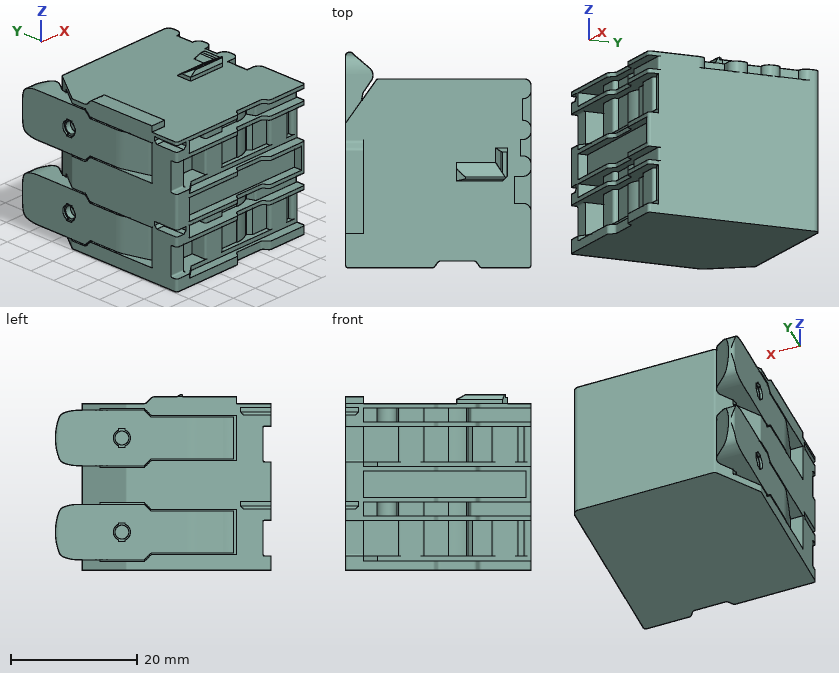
import cadquery as cq
import math


WIDTH = 29.4
DEPTH = 29.95
HEIGHT = 26.4
BEVEL_X = 5.0
BEVEL_START_Y = 22.9
BEVEL_EDGE_RADIUS = 0.4
REAR_RADIUS = 1.0
FRONT_RADIUS = 0.45

MODULE_PITCH = 14.9
MODULE_BASES = (0.0, MODULE_PITCH)
OVERCUT = 1.0
ARC_INSET = 1 - math.sqrt(0.5)

GROOVE_X0 = 14.0
GROOVE_X1 = 21.4
GROOVE_RUN = 0.8
GROOVE_DEPTH = 1.1
GROOVE_RADIUS = 0.6

PLATE_TOP = 1.5
SILL_TOP = 2.28
MID_PLATE_BOTTOM = 7.9
MID_PLATE_TOP = 8.6
UPPER_SLOT_TOP = 10.8
FRONT_X = 2.9
PANEL_DEPTH = 1.75
SILL_SLANT = 2.2
LABEL_X1 = 28.6
LABEL_DEPTH = 1.6
LABEL_Z0 = 11.5
LABEL_Z1 = 15.7

WINDOW_1_END = 8.43
WINDOW_1_DEPTH = 4.7
WINDOW_1_RADIUS = 0.32
SCREW_X = 6.6
SCREW_RADIUS = 1.6
WINDOW_2_X0 = 12.45
WINDOW_2_X1 = 23.2
RAMP_END_X = 20.1
UPPER_WINDOW_END = 19.85
UPPER_WINDOW_RADIUS = 0.35
WINDOW_2_DEPTH = 2.6
WINDOW_3_X0 = 27.35
WINDOW_3_X1 = 28.3
WINDOW_RADIUS = 0.45
LOBE_X0 = 16.35
LOBE_X1 = 19.2
LOBE_FRONT = 2.45
LOBE_BACK = 3.3
LOBE_SAG = 0.22
LOBE_FLAT = 0.2
PANEL_END_RADIUS = 0.3

SIDE_NOTCH_DEPTH = 1.3
SIDE_NOTCH_RADIUS = 0.27

CORNER_POCKET_X = 2.1
CORNER_POCKET_Y = 4.87
CORNER_POCKET_Z0 = 9.7
CORNER_POCKET_Z1 = 10.88
CORNER_POCKET_CHAMFER = 0.5

LEVER_Z = 6.05
LEVER_HALF_WIDE = 4.4
LEVER_HALF_NARROW = 3.3
LEVER_END_Y = 34.2
LEVER_SHOULDER_Y = 30.66
LEVER_CORNER = (32.8, 4.0)
LEVER_NOSE = (33.6, 3.25)
LEVER_NOSE_SAG = 0.15
LEVER_WIDE_Y = 20.1
LEVER_NARROW_Y = 19.0
LEVER_FOOT_Y = 5.97
LEVER_CLEARANCE = 0.25

TIP_START = (0, 33.5)
TIP_MID = (0.17, 34.0)
TIP_END = (0.6, LEVER_END_Y)
TIP_FLAT_END = 0.9
TIP_BREAK = (1.5, 33.65)
HOOK_START = (3.8, 31.7)
HOOK_MID = (4.37, 30.66)
HOOK_END = (4.2, 29.8)
NECK_START = (2.8, 27.75)
NECK_END = (2.6, 26.8)
NECK_ROOT_Y = 26.0
DISH_START = (0, 13.3)
DISH_HIGH_MID = (0.06, 12.5)
DISH_HIGH = (0.25, 11.7)
DISH_LOW = (1.45, 7.6)
DISH_FOOT_MID = (1.75, 6.8)
DISH_FOOT = (1.9, LEVER_FOOT_Y)

CHANNEL_FOOT_Y = 5.47
CHANNEL_END_Y = 27.15
CHANNEL_DEPTH = 3.03

HOLE_Y = 23.65
HOLE_DIAMETER = 2.2
HOLE_RIM_DIAMETER = 2.7
HOLE_RIM_DEPTH = 0.4
HOLE_DEPTH = 1.5
KEY_WIDTH = 1.05
KEY_LENGTH = 2.95

RIB_HEIGHT = 1.1
RIB_SLOPE_START_Y = 18.8
RIB_RADIUS = 0.8

SCALLOPS = ((26.8, 23.4, 28.05), (20.35, 17.75, 27.75), (14.5, 10.25, 26.8))
SCALLOP_RADIUS = 1.3
SCALLOP_DEPTH = 1.8

RIDGE_X0 = 17.6
RIDGE_X1 = 25.7
RIDGE_Y0 = 13.8
RIDGE_Y1 = 19.0
RIDGE_HEIGHT = 1.4
RIDGE_SHOULDER = 0.67
RIDGE_END_RUN = 1.4
RIDGE_REAR_RUN = 0.9
RIDGE_CORNER = 0.8
RIDGE_LONG_WIDTH = 2.9
RIDGE_SHORT_WIDTH = 1.9

RIDGE_LONG_SECTION = [
    (0, 0),
    (0, RIDGE_SHOULDER),
    (0.3, RIDGE_HEIGHT),
    (0.6, RIDGE_HEIGHT),
    (1.1, 1.1),
    (2.6, 0.3),
    (RIDGE_LONG_WIDTH, 0),
]
RIDGE_SHORT_SECTION = [
    (0, 0),
    (0, 0.9),
    (0.15, 1.0),
    (0.8, 1.0),
    (1.1, 0.85),
    (1.6, 0.3),
    (RIDGE_SHORT_WIDTH, 0),
]


def box(x0, x1, y0, y1, z0, z1):
    return cq.Workplane("XY").box(x1 - x0, y1 - y0, z1 - z0, centered=False).translate((x0, y0, z0))


def prism(outline, z0, z1):
    """Extrude a closed XY outline from z0 to z1."""
    return cq.Workplane("XY").workplane(offset=z0).polyline(outline).close().extrude(z1 - z0)


def make_housing():
    outline = [
        (0, 0),
        (WIDTH, 0),
        (WIDTH, DEPTH),
        (BEVEL_X, DEPTH),
        (0, BEVEL_START_Y),
    ]
    housing = prism(outline, 0, HEIGHT)
    housing = housing.edges("|Z").edges("<Y").fillet(FRONT_RADIUS)
    housing = housing.edges("|Z").edges(">X and >Y").fillet(REAR_RADIUS)
    bevel_edges = cq.selectors.BoxSelector(
        (-OVERCUT, BEVEL_START_Y - OVERCUT, -OVERCUT),
        (BEVEL_X + OVERCUT, DEPTH + OVERCUT, HEIGHT + OVERCUT),
    )
    return housing.edges("|Z").edges(bevel_edges).fillet(BEVEL_EDGE_RADIUS)


def front_groove():
    slope = GROOVE_DEPTH / GROOVE_RUN
    turn = math.atan(slope)
    blend = GROOVE_RADIUS * math.tan(turn / 2)
    dx = blend * math.cos(turn)
    dy = blend * math.sin(turn)
    mid_x = GROOVE_RADIUS * math.sin(turn / 2)
    mid_y = GROOVE_RADIUS * (1 - math.cos(turn / 2))
    left = GROOVE_X0
    right = GROOVE_X1
    inner_left = left + GROOVE_RUN
    inner_right = right - GROOVE_RUN
    return (
        cq.Workplane("XY")
        .moveTo(left - blend, -OVERCUT)
        .lineTo(left - blend, 0)
        .threePointArc((left - blend + mid_x, mid_y), (left + dx, dy))
        .lineTo(inner_left - dx, GROOVE_DEPTH - dy)
        .threePointArc((inner_left + blend - mid_x, GROOVE_DEPTH - mid_y), (inner_left + blend, GROOVE_DEPTH))
        .lineTo(inner_right - blend, GROOVE_DEPTH)
        .threePointArc(
            (inner_right - blend + mid_x, GROOVE_DEPTH - mid_y),
            (inner_right + dx, GROOVE_DEPTH - dy),
        )
        .lineTo(right - dx, dy)
        .threePointArc((right + blend - mid_x, mid_y), (right + blend, 0))
        .lineTo(right + blend, -OVERCUT)
        .close()
        .extrude(HEIGHT)
    )


def panel_recess(base):
    """Setback in front of the windowed panel, below and above the middle plate."""
    sill = prism(
        [
            (FRONT_X, -OVERCUT),
            (WIDTH + OVERCUT, -OVERCUT),
            (WIDTH + OVERCUT, PANEL_DEPTH),
            (FRONT_X + SILL_SLANT, PANEL_DEPTH),
            (FRONT_X, 0),
        ],
        base + PLATE_TOP,
        base + SILL_TOP,
    )
    lower = box(FRONT_X, WIDTH + OVERCUT, -OVERCUT, PANEL_DEPTH, base + SILL_TOP, base + MID_PLATE_BOTTOM)
    upper = box(FRONT_X, WIDTH + OVERCUT, -OVERCUT, PANEL_DEPTH, base + MID_PLATE_TOP, base + UPPER_SLOT_TOP)
    panel_end = box(
        WIDTH - PANEL_END_RADIUS, WIDTH, PANEL_DEPTH, PANEL_DEPTH + PANEL_END_RADIUS,
        base + MID_PLATE_TOP, base + UPPER_SLOT_TOP,
    )
    end_round = (
        cq.Workplane("XY", origin=(0, 0, base + MID_PLATE_TOP))
        .center(WIDTH - PANEL_END_RADIUS, PANEL_DEPTH + PANEL_END_RADIUS)
        .circle(PANEL_END_RADIUS)
        .extrude(UPPER_SLOT_TOP - MID_PLATE_TOP)
    )
    return sill.union(lower).union(upper).union(panel_end.cut(end_round))


def lip_in(path, x, radius):
    """Draw the rounded left lip of a window, from the panel face into the window."""
    offset = radius * ARC_INSET
    return (
        path.moveTo(x - radius, PANEL_DEPTH)
        .threePointArc((x - offset, PANEL_DEPTH + offset), (x, PANEL_DEPTH + radius))
    )


def lip_out(path, x, radius):
    """Draw the rounded right lip of a window, back out to the panel face."""
    offset = radius * ARC_INSET
    return (
        path.lineTo(x, PANEL_DEPTH + radius)
        .threePointArc((x + offset, PANEL_DEPTH + offset), (x + radius, PANEL_DEPTH))
    )


def window_1(z0, z1):
    path = (
        cq.Workplane("XY", origin=(0, 0, z0))
        .moveTo(FRONT_X, SIDE_NOTCH_DEPTH)
        .lineTo(FRONT_X, WINDOW_1_DEPTH)
        .lineTo(WINDOW_1_END, WINDOW_1_DEPTH)
    )
    path = lip_out(path, WINDOW_1_END, WINDOW_1_RADIUS)
    return path.lineTo(WINDOW_1_END + WINDOW_1_RADIUS, SIDE_NOTCH_DEPTH).close().extrude(z1 - z0)


def start_window_2(z0):
    """Left part of the second window, up to the end of the rounded contact lobe."""
    path = lip_in(cq.Workplane("XY", origin=(0, 0, z0)), WINDOW_2_X0, WINDOW_RADIUS)
    return (
        path.lineTo(WINDOW_2_X0, WINDOW_2_DEPTH)
        .lineTo(LOBE_X0, WINDOW_2_DEPTH)
        .lineTo(LOBE_X0, LOBE_FRONT)
        .sagittaArc((LOBE_X1, LOBE_BACK), -LOBE_SAG)
        .lineTo(LOBE_X1 + LOBE_FLAT, LOBE_BACK)
    )


def window_2_lower(z0, z1):
    path = start_window_2(z0).lineTo(RAMP_END_X, WINDOW_2_DEPTH).lineTo(WINDOW_2_X1, WINDOW_2_DEPTH)
    return lip_out(path, WINDOW_2_X1, WINDOW_RADIUS).close().extrude(z1 - z0)


def window_2_upper(z0, z1):
    """Shorter window that ends right behind the lobe."""
    return lip_out(start_window_2(z0), UPPER_WINDOW_END, UPPER_WINDOW_RADIUS).close().extrude(z1 - z0)


def window_3(z0, z1):
    path = lip_in(cq.Workplane("XY", origin=(0, 0, z0)), WINDOW_3_X0, WINDOW_RADIUS)
    path = path.lineTo(WINDOW_3_X0, WINDOW_2_DEPTH).lineTo(WINDOW_3_X1, WINDOW_2_DEPTH)
    return lip_out(path, WINDOW_3_X1, WINDOW_RADIUS).close().extrude(z1 - z0)


def windows(base):
    low = (base + SILL_TOP, base + MID_PLATE_BOTTOM)
    high = (base + MID_PLATE_TOP, base + UPPER_SLOT_TOP)
    screw = (
        cq.Workplane("XY", origin=(SCREW_X, WINDOW_1_DEPTH, high[0]))
        .circle(SCREW_RADIUS)
        .extrude(high[1] - high[0])
    )
    cutter = window_1(*low).union(window_1(*high).cut(screw))
    cutter = cutter.union(window_2_lower(*low)).union(window_2_upper(*high))
    return cutter.union(window_3(*low))


def side_notch(base):
    notch = box(-OVERCUT, FRONT_X, -OVERCUT, SIDE_NOTCH_DEPTH, base + SILL_TOP, base + MID_PLATE_BOTTOM)
    return notch.edges("|X").edges(">Y").fillet(SIDE_NOTCH_RADIUS)


def corner_pocket(base):
    pocket = box(
        -OVERCUT, CORNER_POCKET_X, -OVERCUT, CORNER_POCKET_Y,
        base + CORNER_POCKET_Z0, base + CORNER_POCKET_Z1,
    )
    return pocket.faces("<Z").edges(">X or >Y").chamfer(CORNER_POCKET_CHAMFER)


def label_pocket():
    return box(FRONT_X, LABEL_X1, -OVERCUT, LABEL_DEPTH, LABEL_Z0, LABEL_Z1)


def lever_channel(base):
    wide = LEVER_HALF_WIDE + LEVER_CLEARANCE
    narrow = LEVER_HALF_NARROW + LEVER_CLEARANCE
    half = [
        (CHANNEL_FOOT_Y, narrow),
        (LEVER_NARROW_Y, narrow),
        (LEVER_WIDE_Y, wide),
        (CHANNEL_END_Y, wide),
    ]
    outline = half + [(y, -z) for y, z in reversed(half)]
    return (
        cq.Workplane("YZ", origin=(-OVERCUT, 0, base + LEVER_Z))
        .polyline(outline)
        .close()
        .extrude(OVERCUT + CHANNEL_DEPTH)
    )


def lever_face_outline():
    """Lever seen along X: rounded head, tapering to a narrow foot."""
    upper_half = (
        cq.Workplane("YZ")
        .moveTo(LEVER_FOOT_Y, 0)
        .lineTo(LEVER_FOOT_Y, LEVER_HALF_NARROW)
        .lineTo(LEVER_NARROW_Y, LEVER_HALF_NARROW)
        .lineTo(LEVER_WIDE_Y, LEVER_HALF_WIDE)
        .lineTo(LEVER_SHOULDER_Y, LEVER_HALF_WIDE)
        .tangentArcPoint(LEVER_CORNER, relative=False)
        .tangentArcPoint(LEVER_NOSE, relative=False)
        .sagittaArc((LEVER_END_Y, 0), LEVER_NOSE_SAG)
        .close()
        .extrude(CHANNEL_DEPTH + BEVEL_X)
    )
    return upper_half.union(upper_half.mirror("XY"))


def lever_side_profile():
    """Lever seen along Z: finger hook at the rear, curved face sinking towards the foot."""
    return (
        cq.Workplane("XY")
        .moveTo(*DISH_START)
        .lineTo(*TIP_START)
        .threePointArc(TIP_MID, TIP_END)
        .lineTo(TIP_FLAT_END, LEVER_END_Y)
        .lineTo(*TIP_BREAK)
        .lineTo(*HOOK_START)
        .threePointArc(HOOK_MID, HOOK_END)
        .lineTo(*NECK_START)
        .lineTo(*NECK_END)
        .lineTo(CHANNEL_DEPTH, NECK_ROOT_Y)
        .lineTo(CHANNEL_DEPTH, LEVER_FOOT_Y)
        .lineTo(*DISH_FOOT)
        .threePointArc(DISH_FOOT_MID, DISH_LOW)
        .lineTo(*DISH_HIGH)
        .threePointArc(DISH_HIGH_MID, DISH_START)
        .close()
        .extrude(2 * LEVER_HALF_WIDE)
        .translate((0, 0, -LEVER_HALF_WIDE))
    )


def lever_hole():
    plane = cq.Workplane("YZ").center(HOLE_Y, 0)
    bore = plane.circle(HOLE_DIAMETER / 2).extrude(HOLE_DEPTH)
    rim = plane.circle(HOLE_RIM_DIAMETER / 2).extrude(HOLE_RIM_DEPTH)
    keys = plane.rect(KEY_WIDTH, KEY_LENGTH).extrude(HOLE_RIM_DEPTH)
    return bore.union(rim).union(keys)


def make_lever(base):
    lever = lever_face_outline().intersect(lever_side_profile()).cut(lever_hole())
    return lever.translate((0, 0, base + LEVER_Z))


def make_rib():
    rib = (
        cq.Workplane("YZ")
        .moveTo(CHANNEL_FOOT_Y, HEIGHT - RIB_HEIGHT)
        .lineTo(CHANNEL_FOOT_Y, HEIGHT + RIB_HEIGHT)
        .lineTo(RIB_SLOPE_START_Y, HEIGHT + RIB_HEIGHT)
        .lineTo(RIB_SLOPE_START_Y + RIB_HEIGHT, HEIGHT)
        .lineTo(BEVEL_START_Y - OVERCUT, HEIGHT)
        .lineTo(BEVEL_START_Y - OVERCUT, HEIGHT - RIB_HEIGHT)
        .close()
        .extrude(FRONT_X)
    )
    slope_ends = cq.selectors.BoxSelector(
        (-OVERCUT, RIB_SLOPE_START_Y - RIB_HEIGHT / 2, HEIGHT - RIB_HEIGHT / 2),
        (FRONT_X + OVERCUT, RIB_SLOPE_START_Y + 1.5 * RIB_HEIGHT, HEIGHT + 1.5 * RIB_HEIGHT),
    )
    rib = rib.edges("|X").edges(slope_ends).fillet(RIB_RADIUS)
    return rib.cut(lever_channel(MODULE_PITCH))


def scallop(rear_y, front_y, floor_x):
    """Notch whose mouth flares into the right side with quarter rounds."""
    r = SCALLOP_RADIUS
    inset = r * ARC_INSET
    return (
        cq.Workplane("XY", origin=(0, 0, HEIGHT - SCALLOP_DEPTH))
        .moveTo(WIDTH, front_y - r)
        .threePointArc((WIDTH - inset, front_y - inset), (WIDTH - r, front_y))
        .lineTo(floor_x, front_y)
        .lineTo(floor_x, rear_y)
        .lineTo(WIDTH - r, rear_y)
        .threePointArc((WIDTH - inset, rear_y + inset), (WIDTH, rear_y + r))
        .close()
        .extrude(SCALLOP_DEPTH)
    )


def make_ridge():
    z = HEIGHT
    long_leg = (
        cq.Workplane("YZ", origin=(RIDGE_X0, RIDGE_Y0, z))
        .polyline(RIDGE_LONG_SECTION)
        .close()
        .extrude(RIDGE_X1 - RIDGE_X0)
    )
    end_bevel = (
        cq.Workplane("XZ", origin=(RIDGE_X0, RIDGE_Y1, z))
        .polyline([(0, RIDGE_SHOULDER), (RIDGE_END_RUN, RIDGE_HEIGHT), (0, RIDGE_HEIGHT)])
        .close()
        .extrude(RIDGE_Y1 - RIDGE_Y0)
    )
    short_leg = (
        cq.Workplane("XZ", origin=(RIDGE_X1, RIDGE_Y1, z))
        .polyline([(-x, h) for x, h in RIDGE_SHORT_SECTION])
        .close()
        .extrude(RIDGE_Y1 - RIDGE_Y0)
    )
    rear_bevel = (
        cq.Workplane("YZ", origin=(RIDGE_X0, RIDGE_Y1, z))
        .polyline([(0, 0), (-RIDGE_REAR_RUN, RIDGE_HEIGHT), (0, RIDGE_HEIGHT)])
        .close()
        .extrude(RIDGE_X1 - RIDGE_X0)
    )
    outer = (RIDGE_X1, RIDGE_Y0)
    inner = (RIDGE_X1 - RIDGE_SHORT_WIDTH, RIDGE_Y0 + RIDGE_LONG_WIDTH)
    front_side = prism([outer, inner, (RIDGE_X0, inner[1]), (RIDGE_X0, RIDGE_Y0)], z, z + RIDGE_HEIGHT)
    rear_side = prism([outer, (RIDGE_X1, RIDGE_Y1), (inner[0], RIDGE_Y1), inner], z, z + RIDGE_HEIGHT)
    ridge = long_leg.cut(end_bevel).intersect(front_side)
    ridge = ridge.union(short_leg.cut(rear_bevel).intersect(rear_side))
    corner = prism(
        [outer, (RIDGE_X1, RIDGE_Y0 + RIDGE_CORNER), (RIDGE_X1 - RIDGE_CORNER, RIDGE_Y0)],
        z, z + RIDGE_HEIGHT,
    )
    return ridge.cut(corner)


body = make_housing().cut(front_groove()).cut(label_pocket())
for module_base in MODULE_BASES:
    body = body.cut(panel_recess(module_base))
    body = body.cut(windows(module_base))
    body = body.cut(side_notch(module_base))
    body = body.cut(corner_pocket(module_base))
    body = body.cut(lever_channel(module_base))
for rear, front, floor in SCALLOPS:
    body = body.cut(scallop(rear, front, floor))
body = body.union(make_rib()).union(make_ridge())
for module_base in MODULE_BASES:
    body = body.union(make_lever(module_base))

result = body